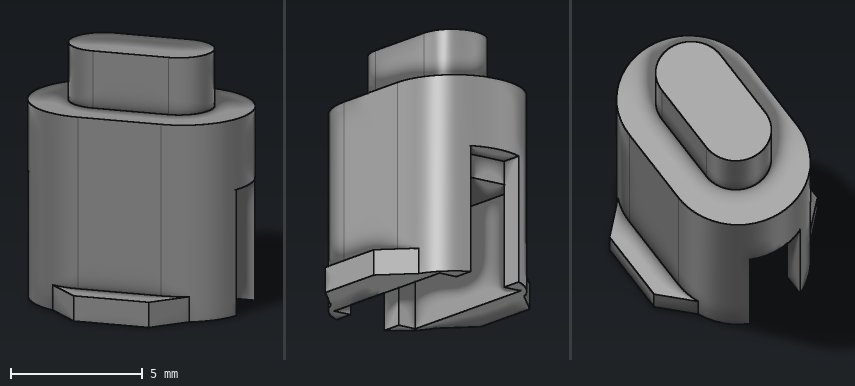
import cadquery as cq

total_height = 10.0
body_height = 7.75
flange_height = 1.0

body_length = 8.8
body_width = 5.5

knob_length = 5.7
knob_width = 2.7

flange_span = 7.5
flange_tip_length = 3.0

cavity_length = 6.5
cavity_width = 3.9
cavity_height = 4.05

slot_width = 2.3
slot_height = 4.97
slot_depth = (body_length - cavity_length) / 2


def rounded_bar(length, width, bottom, top):
    """Upright bar with straight long sides and semicircular ends."""
    return cq.Workplane("XY").workplane(offset=bottom).slot2D(length, width).extrude(top - bottom)


def base_box(length, width, height, center_x=0.0):
    """Box standing on the base plane, centred on Y = 0."""
    return cq.Workplane("XY").center(center_x, 0).rect(length, width).extrude(height)


def side_flanges():
    """Octagonal plate whose outer parts form the flanges on both long sides."""
    half_tip = flange_tip_length / 2
    half_span = flange_span / 2
    root_y = body_width / 4
    half_root = half_tip + half_span - root_y
    outline = [
        (half_tip, half_span),
        (half_root, root_y),
        (half_root, -root_y),
        (half_tip, -half_span),
        (-half_tip, -half_span),
        (-half_root, -root_y),
        (-half_root, root_y),
        (-half_tip, half_span),
    ]
    return cq.Workplane("XY").polyline(outline).close().extrude(flange_height)


def end_slot(side):
    """Cutter for the slot between the cavity and one rounded end (side is -1 or 1)."""
    center_x = side * (cavity_length + slot_depth) / 2
    return base_box(slot_depth, slot_width, slot_height, center_x)


body = rounded_bar(body_length, body_width, 0.0, body_height)
knob = rounded_bar(knob_length, knob_width, body_height, total_height)
result = body.union(knob).union(side_flanges())

result = result.cut(base_box(cavity_length, cavity_width, cavity_height))
for side in (-1, 1):
    result = result.cut(end_slot(side))